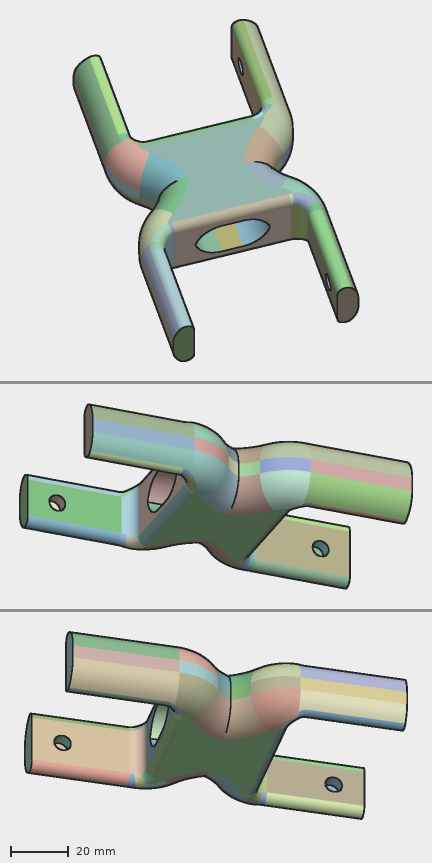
import cadquery as cq
import math

length = 120.0
width = 67.3
height = 25.0

shoulder_x = 21.7
bend_radius = 20.0
bend_angle = math.radians(52)
outer_round = 10.0

opening_x = 20.2
left_arm = 10.0
right_arm = 7.7
corner_radius = 4.8
opening_round = 3.0

passage_width = 27.0
passage_height = 15.0
passage_radius = 10.0

pin_diameter = 6.0
pin_from_end = 11.0
pin_depth = 5.0


def make_outer_quarter():
    """One quarter of the waisted body without openings: X below 0, Y above 0."""
    half_width = width / 2
    bend_x, bend_y = -shoulder_x, half_width - bend_radius

    def on_bend(angle):
        return bend_x + bend_radius * math.sin(angle), bend_y + bend_radius * math.cos(angle)

    waist_x = bend_x + 2 * bend_radius * math.sin(bend_angle)
    waist_y = bend_y + 2 * bend_radius * math.cos(bend_angle)

    def on_waist(angle):
        return waist_x - bend_radius * math.sin(angle), waist_y - bend_radius * math.cos(angle)

    waist_end_angle = math.asin(waist_x / bend_radius)
    body = (
        cq.Workplane("XY")
        .workplane(offset=-height / 2)
        .moveTo(-length / 2, 0)
        .lineTo(-length / 2, half_width)
        .lineTo(-shoulder_x, half_width)
        .threePointArc(on_bend(bend_angle / 2), on_bend(bend_angle))
        .threePointArc(on_waist((bend_angle + waist_end_angle) / 2), on_waist(waist_end_angle))
        .lineTo(0, 0)
        .close()
        .extrude(height)
    )
    arm_side = cq.selectors.NearestToPointSelector((-length / 3, half_width, 0))
    return body.faces(arm_side).edges("|X").fillet(outer_round)


def make_outer_body():
    half = make_outer_quarter()
    half = half.union(half.mirror("XZ"))
    return half.union(half.mirror("YZ"))


def cut_opening(body, side, arm_thickness):
    """Cut the opening between two arms on one side (-1 or 1) and round its edges."""
    half_opening = width / 2 - arm_thickness
    opening = (
        cq.Workplane("XY")
        .box(length / 2 - opening_x, 2 * half_opening, height, centered=(False, True, True))
        .translate((opening_x, 0, 0))
        .edges("|Z and <X")
        .fillet(corner_radius)
    )
    if side < 0:
        opening = opening.mirror("YZ")
    body = body.cut(opening)

    floor = cq.selectors.NearestToPointSelector((side * opening_x, 0, 0))
    return body.faces(floor).edges("|Y").fillet(opening_round)


def cut_passage(body):
    half_height = passage_height / 2
    drop = passage_radius - half_height
    half_flat = passage_width / 2 - math.sqrt(passage_radius**2 - drop**2)
    mid_angle = math.acos(drop / passage_radius) / 2
    mid_y = half_flat + passage_radius * math.sin(mid_angle)
    mid_z = passage_radius * math.cos(mid_angle) - drop
    passage = (
        cq.Workplane("YZ")
        .moveTo(-half_flat, half_height)
        .lineTo(half_flat, half_height)
        .threePointArc((mid_y, mid_z), (passage_width / 2, 0))
        .threePointArc((mid_y, -mid_z), (half_flat, -half_height))
        .lineTo(-half_flat, -half_height)
        .threePointArc((-mid_y, -mid_z), (-passage_width / 2, 0))
        .threePointArc((-mid_y, mid_z), (-half_flat, half_height))
        .close()
        .extrude(length / 2, both=True)
    )
    return body.cut(passage)


def cut_pin_holes(body, side, arm_thickness):
    """Cut one blind hole into the inner face of each of the two arms on one side."""
    pin_reach = width / 2 - arm_thickness + pin_depth
    pin = (
        cq.Workplane("XZ")
        .center(side * (length / 2 - pin_from_end), 0)
        .circle(pin_diameter / 2)
        .extrude(pin_reach, both=True)
    )
    return body.cut(pin)


result = make_outer_body()
for side, arm_thickness in ((-1, left_arm), (1, right_arm)):
    result = cut_opening(result, side, arm_thickness)
    result = cut_pin_holes(result, side, arm_thickness)
result = cut_passage(result)